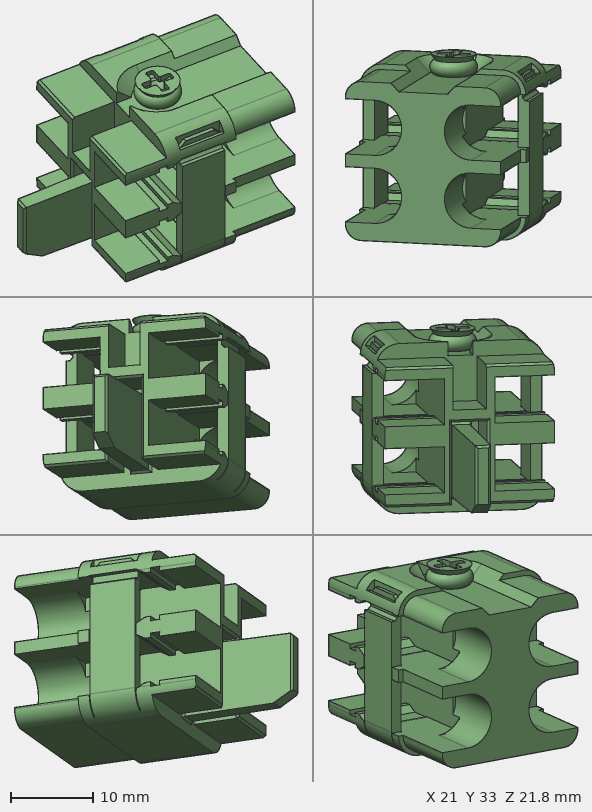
import cadquery as cq
import math


half_width = 10.5
flange_corner_radius = 3.0
flange_front = 5.9
flange_back = 15.65
rear_half_width = 9.8
rear_corner_radius = 2.0
housing_depth = 24.4
front_half_height = 8.6
edge_chamfer = 0.3

chamber_x = 6.1
chamber_z = 4.2
bore_radius = 3.4
bore_front = 16.4
chamber_wall_x = 3.15
chamber_back = 17.92
rib_height = 0.55
rib_groove_front = 4.8
rib_groove_back = 5.97
barb_flat_back = 6.73
barb_tip_y = 7.95
relief_back = 10.55
relief_depth = 0.1

latch_inner_x = 9.08
latch_front = 8.05
latch_back = 14.05
latch_gap = 0.1
latch_shoulder_z = 6.5
shoulder_x = 10.0
prong_outer_x = 9.6
prong_top_z = 9.5
prong_chamfer = 1.0
pocket_wall_x = 9.0
pocket_floor_z = 8.9
prong_slot_x = 9.75

top_notch_half_width = 2.05
top_notch_floor_z = 3.15
blade_recess_half_width = 2.2
blade_recess_top_z = 1.62

blade_foot_half_width = 1.1
blade_tip_half_width = 0.95
blade_foot_top_z = 0.3
blade_tip_top_z = 0.15
blade_foot_bottom_z = -8.6
blade_tip_bottom_z = -8.48
blade_tip_y = housing_depth - 33
blade_tip_chamfer = 0.3
blade_foot_chamfer = 0.3
blade_slope_start_y = -6.1
blade_slope_end_z = -7.05

groove_floor_z = 8.78
groove_floor_half_width = 3.05
groove_end_y = 10.63
screw_notch_half_width = 1.55

screw_y = 10.82
screw_top_z = 11.32
screw_top_radius = 2.75
screw_neck_radius = 2.28
screw_neck_z = 10.63
screw_bulge_radius = 2.9
recess_arm_width = 1.02
recess_arm_reach = 2.0
recess_arm_corner_radius = 0.2
recess_core_radius = 0.85
recess_tip_depth = 0.53
recess_floor_radius = 1.52
recess_floor_depth = 0.75
recess_cone_radius = 1.02
recess_cone_depth = 1.35


def box(x, y, z):
    """Box from three (low, high) pairs."""
    return cq.Workplane("XY").box(
        x[1] - x[0], y[1] - y[0], z[1] - z[0], centered=False
    ).translate((x[0], y[0], z[0]))


def rounded_block(half, radius, front, back):
    """Square block along Y with rounded long edges."""
    return box((-half, half), (front, back), (-half, half)).edges("|Y").fillet(radius)


def both_sides(left):
    """The left-hand shape together with its mirror image."""
    return left.union(left.mirror("YZ"))


def along_y(points, front, back):
    """X-Z outline extruded from front to back."""
    outline = cq.Workplane("XZ", origin=(0, back, 0)).polyline(points).close()
    return outline.extrude(back - front)


def along_x(points, x_low, x_high):
    """Y-Z outline extruded in X."""
    outline = cq.Workplane("YZ", origin=(x_low, 0, 0)).polyline(points).close()
    return outline.extrude(x_high - x_low)


def tapered_bar(y_start, y_end, start, end):
    """Bar between two rectangles, each given as (half width, bottom z, top z)."""
    bar = cq.Workplane("XZ", origin=(0, y_start, 0))
    bar = bar.center(0, (start[1] + start[2]) / 2).rect(2 * start[0], start[2] - start[1])
    centre_shift = (end[1] + end[2] - start[1] - start[2]) / 2
    bar = bar.workplane(offset=y_start - y_end).center(0, centre_shift)
    return bar.rect(2 * end[0], end[2] - end[1]).loft(ruled=True)


def housing_envelope():
    flange = rounded_block(half_width, flange_corner_radius, flange_front, flange_back)
    rear = rounded_block(rear_half_width, rear_corner_radius, flange_back, housing_depth)
    front_slab = box((-half_width, half_width), (0, flange_front), (-front_half_height, front_half_height))
    chamfered = front_slab.faces("<Y").edges("|X").chamfer(edge_chamfer)
    front = rounded_block(half_width, flange_corner_radius, 0, flange_front).intersect(chamfered)
    return flange.union(rear).union(front)


def chamber(z_centre):
    """Space of one left-hand chamber: a square front part and a U-shaped rear part."""
    height = (z_centre - bore_radius, z_centre + bore_radius)
    square = box((-half_width, -chamber_wall_x), (0, chamber_back), height)
    bore = (
        cq.Workplane("XZ", origin=(-chamber_x, housing_depth, z_centre))
        .circle(bore_radius).extrude(housing_depth - bore_front)
    )
    side_opening = box((-half_width, -chamber_x), (bore_front, housing_depth), height)
    space = square.union(bore).union(side_opening)
    relief = box(
        (-half_width, -chamber_wall_x), (rib_groove_back, relief_back),
        (height[0] - relief_depth, height[1] + relief_depth),
    )
    ribs = snap_rib(height[0], 1).union(snap_rib(height[1], -1))
    return space.union(relief).cut(ribs)


def snap_rib(base_z, direction):
    """Rib with a groove and a barbed back end, standing up (1) or hanging down (-1)."""
    crest_z = base_z + direction * rib_height
    relief_z = base_z - direction * relief_depth
    front_bar = [(0, base_z), (0, crest_z), (rib_groove_front, crest_z), (rib_groove_front, base_z)]
    barb = [
        (rib_groove_back, relief_z), (rib_groove_back, crest_z),
        (barb_flat_back, crest_z), (barb_tip_y, relief_z),
    ]
    return along_x(front_bar, -half_width, -chamber_wall_x).union(
        along_x(barb, -half_width, -chamber_wall_x)
    )


def latch_space():
    """Room for one left-hand latch, its prong slot and the pocket the prong shows in."""
    span = (latch_front - latch_gap, latch_back + latch_gap)
    chamber_top = chamber_z + bore_radius
    side = box((-half_width, -latch_inner_x), span, (-half_width, chamber_top + relief_depth))
    slot = box((-prong_slot_x, -pocket_wall_x), span, (chamber_top, pocket_floor_z))
    pocket = box((-half_width, -pocket_wall_x), span, (pocket_floor_z, half_width))
    return side.union(slot).union(pocket)


def latch():
    """Left-hand latch plate with a stepped prong on its top."""
    shoulder_rise = shoulder_x - prong_outer_x
    plate = along_y(
        [
            (-latch_inner_x, -half_width), (-half_width, -half_width),
            (-half_width, latch_shoulder_z), (-shoulder_x, latch_shoulder_z),
            (-prong_outer_x, latch_shoulder_z + shoulder_rise),
            (-prong_outer_x, prong_top_z), (-latch_inner_x, prong_top_z),
        ],
        latch_front, latch_back,
    )
    plate = plate.faces(">Z").edges("|X").chamfer(prong_chamfer)
    return plate.intersect(rounded_block(half_width, flange_corner_radius, latch_front, latch_back))


def front_notches():
    """Notch in the top and blade recess in the bottom of the front part."""
    top_notch = box(
        (-top_notch_half_width, top_notch_half_width), (0, flange_front), (top_notch_floor_z, half_width)
    )
    recess = box(
        (-blade_recess_half_width, blade_recess_half_width), (0, flange_front),
        (-half_width, blade_recess_top_z),
    )
    mouth_half_width = blade_recess_half_width + edge_chamfer
    mouth_top_z = blade_recess_top_z + edge_chamfer
    mouth = tapered_bar(
        edge_chamfer, 0,
        (blade_recess_half_width, -half_width, blade_recess_top_z),
        (mouth_half_width, -half_width, mouth_top_z),
    )
    return top_notch.union(recess).union(mouth)


def blade():
    foot = (blade_foot_half_width, blade_foot_bottom_z, blade_foot_top_z)
    tip = (blade_tip_half_width, blade_tip_bottom_z, blade_tip_top_z)
    skirt = (
        foot[0] + blade_foot_chamfer, foot[1] - blade_foot_chamfer, foot[2] + blade_foot_chamfer
    )
    bar = tapered_bar(flange_front, blade_tip_y, foot, tip)
    bar = bar.faces("<Y").edges("not(<Z)").chamfer(blade_tip_chamfer)
    slope = along_x(
        [
            (blade_slope_start_y, blade_tip_bottom_z), (blade_tip_y, blade_slope_end_z),
            (blade_tip_y, -half_width), (blade_slope_start_y, -half_width),
        ],
        -half_width, half_width,
    )
    skirt_bar = tapered_bar(flange_front, flange_front - blade_foot_chamfer, skirt, foot)
    return bar.cut(slope).union(skirt_bar)


def screw_groove():
    """Groove with 45 degree sides, its conical end and the notch to the flange front."""
    groove_rise = half_width - groove_floor_z
    groove_top_half_width = groove_floor_half_width + groove_rise
    groove = along_y(
        [
            (-groove_floor_half_width, groove_floor_z), (-groove_top_half_width, half_width),
            (groove_top_half_width, half_width), (groove_floor_half_width, groove_floor_z),
        ],
        groove_end_y, housing_depth,
    )
    cone = cq.Workplane(cq.Solid.makeCone(
        groove_floor_half_width, groove_top_half_width, groove_rise,
        pnt=cq.Vector(0, groove_end_y, groove_floor_z),
    ))
    notch = box(
        (-screw_notch_half_width, screw_notch_half_width), (flange_front, groove_end_y),
        (groove_floor_z, half_width),
    )
    return groove.union(cone).union(notch)


def make_housing():
    body = housing_envelope()
    for z_centre in (-chamber_z, chamber_z):
        body = body.cut(both_sides(chamber(z_centre)))
    body = body.cut(both_sides(latch_space())).union(both_sides(latch()))
    body = body.cut(front_notches()).cut(screw_groove())
    return body.union(blade())


def recess_arm(x_size, y_size):
    """One arm pair of the cross recess, as a rounded bar through the whole head."""
    bar = box(
        (-x_size / 2, x_size / 2), (screw_y - y_size / 2, screw_y + y_size / 2),
        (groove_floor_z, screw_top_z),
    )
    return bar.edges("|Z").fillet(recess_arm_corner_radius)


def cross_recess():
    """Cross recess: crossed arms and a round core, with a floor that steps down to a point."""
    corner_reach = math.hypot(recess_arm_reach, recess_arm_width / 2)
    floor_z = screw_top_z - recess_floor_depth
    floor_shape = (
        cq.Workplane("XZ", origin=(0, screw_y, 0))
        .moveTo(0, screw_top_z)
        .lineTo(corner_reach, screw_top_z)
        .lineTo(corner_reach, screw_top_z - recess_tip_depth)
        .lineTo(recess_floor_radius, floor_z)
        .lineTo(recess_cone_radius, floor_z)
        .lineTo(0, screw_top_z - recess_cone_depth)
        .close()
        .revolve(360, (0, 0, 0), (0, 1, 0))
    )
    core = (
        cq.Workplane("XY", origin=(0, screw_y, groove_floor_z))
        .circle(recess_core_radius).extrude(screw_top_z - groove_floor_z)
    )
    arm_length = 2 * recess_arm_reach
    cross = recess_arm(arm_length, recess_arm_width).union(recess_arm(recess_arm_width, arm_length))
    return floor_shape.intersect(cross.union(core))


def make_screw():
    """Screw head resting on the groove floor: a bulged ring under a flared top."""
    bulge_mid_z = (groove_floor_z + screw_neck_z) / 2
    head = (
        cq.Workplane("XZ", origin=(0, screw_y, 0))
        .moveTo(0, groove_floor_z)
        .lineTo(screw_neck_radius, groove_floor_z)
        .threePointArc((screw_bulge_radius, bulge_mid_z), (screw_neck_radius, screw_neck_z))
        .lineTo(screw_top_radius, screw_top_z)
        .lineTo(0, screw_top_z)
        .close()
        .revolve(360, (0, 0, 0), (0, 1, 0))
    )
    return head.cut(cross_recess())


housing = make_housing()
screw = make_screw()
result = cq.Compound.makeCompound([housing.solids().val(), screw.solids().val()])